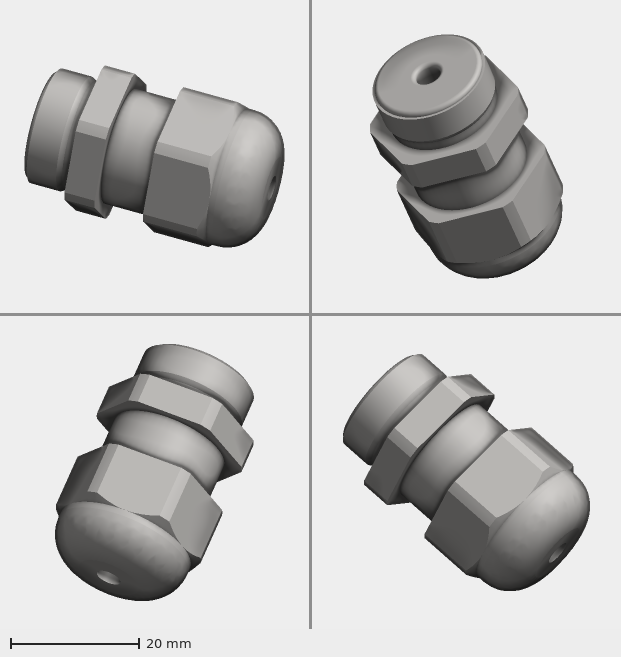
import cadquery as cq
import math

total_length = 38.0
bore_diameter = 4.0
bore_mouth_radius = 0.72

body_radius = 18.6 / 2
relief_radius = 17.67 / 2
lead_in_length = 0.75
lead_in_rounding = 0.72
thread_end = 5.62
taper_end = 6.45

across_flats = 22.0
across_corners = 24.4
collar_start = 8.0
collar_end = 13.0
nut_start = 20.98
nut_chamfer_start = 29.85
nut_end = 31.0

dome_radius = across_flats / 2
dome_start = 32.05
dome_rounding = total_length - dome_start


def cylinder(radius, start, end):
    return cq.Workplane("YZ", origin=(start, 0, 0)).circle(radius).extrude(end - start)


def hexagon(start, end):
    """Hexagonal prism with flats facing +Z and -Z and its corners turned round."""
    sharp_corners = across_flats / math.cos(math.pi / 6)
    prism = cq.Workplane("YZ", origin=(start, 0, 0)).polygon(6, sharp_corners).extrude(end - start)
    return prism.intersect(cylinder(across_corners / 2, start, end))


def threaded_body():
    """Rounded lead-in, thread envelope, taper, relief and main barrel as one revolved solid."""
    lead_in_face_radius = relief_radius - lead_in_rounding
    arc_offset = lead_in_rounding * math.sin(math.pi / 4)
    profile = (
        cq.Workplane("XY")
        .moveTo(0, 0)
        .lineTo(0, lead_in_face_radius)
        .threePointArc(
            (lead_in_rounding - arc_offset, lead_in_face_radius + arc_offset),
            (lead_in_rounding, relief_radius),
        )
        .lineTo(lead_in_length, relief_radius)
        .lineTo(lead_in_length, body_radius)
        .lineTo(thread_end, body_radius)
        .lineTo(taper_end, relief_radius)
        .lineTo(collar_start, relief_radius)
        .lineTo(collar_start, body_radius)
        .lineTo(nut_start, body_radius)
        .lineTo(nut_start, 0)
        .close()
    )
    return profile.revolve(360, (0, 0, 0), (1, 0, 0))


def clamping_nut():
    """Hexagon whose front corners are cut by a cone, leaving curved edges on the flats."""
    cone_envelope = (
        cq.Workplane("XY")
        .moveTo(nut_start, 0)
        .lineTo(nut_start, across_corners / 2)
        .lineTo(nut_chamfer_start, across_corners / 2)
        .lineTo(nut_end, dome_radius)
        .lineTo(nut_end, 0)
        .close()
        .revolve(360, (0, 0, 0), (1, 0, 0))
    )
    return hexagon(nut_start, nut_end).intersect(cone_envelope)


def dome():
    return cylinder(dome_radius, nut_end, total_length).faces(">X").edges().fillet(dome_rounding)


def bore():
    """Through hole, widened by a rounded mouth at X = 0."""
    bore_radius = bore_diameter / 2
    mouth_radius = bore_radius + bore_mouth_radius
    arc_offset = bore_mouth_radius * math.sin(math.pi / 4)
    profile = (
        cq.Workplane("XY")
        .moveTo(0, 0)
        .lineTo(0, mouth_radius)
        .threePointArc(
            (bore_mouth_radius - arc_offset, mouth_radius - arc_offset),
            (bore_mouth_radius, bore_radius),
        )
        .lineTo(total_length, bore_radius)
        .lineTo(total_length, 0)
        .close()
    )
    return profile.revolve(360, (0, 0, 0), (1, 0, 0))


result = (
    threaded_body()
    .union(hexagon(collar_start, collar_end))
    .union(clamping_nut())
    .union(dome())
    .cut(bore())
)